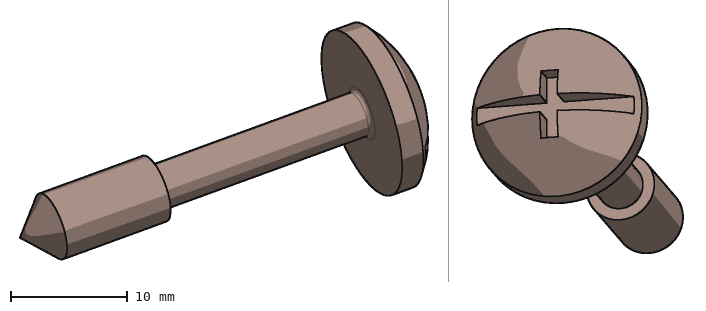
import cadquery as cq
import math

total_length = 37.97
head_diameter = 15.0
rim_height = 2.05
head_height = 5.0
shank_diameter = 4.0
neck_fillet = 0.4
tip_diameter = 6.0
tip_body_length = 10.0
slot_width = 1.5
slot_depth = 2.45
cross_slot_length = 6.0

head_radius = head_diameter / 2
shank_radius = shank_diameter / 2
tip_radius = tip_diameter / 2
cone_length = tip_radius
point_y = head_height - total_length
cone_base_y = point_y + cone_length
tip_shoulder_y = cone_base_y + tip_body_length

corner_radius = slot_width / math.sqrt(2)
dome_rise = head_height - rim_height
center_drop = (head_radius**2 - corner_radius**2 - dome_rise**2) / (2 * dome_rise)
dome_center_y = rim_height - center_drop
dome_radius = math.hypot(head_radius, center_drop)
apex_y = dome_center_y + dome_radius
dome_mid_radius = head_radius / 2
dome_mid_y = dome_center_y + math.sqrt(dome_radius**2 - dome_mid_radius**2)


def screw_body():
    """Domed head, filleted neck, shank and pointed tip, revolved about Y."""
    fillet_mid = neck_fillet * (1 - math.sqrt(0.5))
    return (
        cq.Workplane("XY")
        .moveTo(0, point_y)
        .lineTo(tip_radius, cone_base_y)
        .lineTo(tip_radius, tip_shoulder_y)
        .lineTo(shank_radius, tip_shoulder_y)
        .lineTo(shank_radius, -neck_fillet)
        .threePointArc(
            (shank_radius + fillet_mid, -fillet_mid),
            (shank_radius + neck_fillet, 0),
        )
        .lineTo(head_radius, 0)
        .lineTo(head_radius, rim_height)
        .threePointArc((dome_mid_radius, dome_mid_y), (0, apex_y))
        .close()
        .revolve(360, (0, 0, 0), (0, 1, 0))
    )


def slot_cutter(size_x, size_z):
    """Block reaching from the slot floor to well above the dome."""
    cutter_height = 2 * slot_depth
    floor_y = head_height - slot_depth
    return cq.Workplane("XY").box(size_x, cutter_height, size_z).translate((0, floor_y + cutter_height / 2, 0))


driver_slot = slot_cutter(head_diameter, slot_width)
cross_slot = slot_cutter(slot_width, cross_slot_length)
result = screw_body().cut(driver_slot).cut(cross_slot)